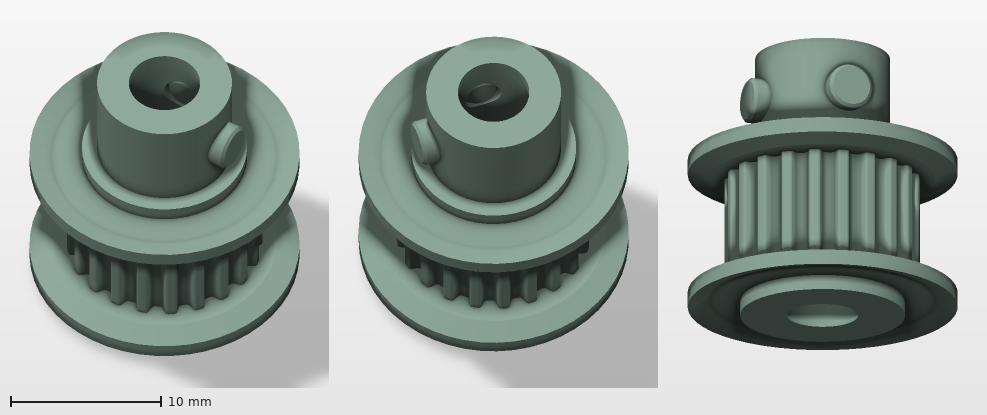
import cadquery as cq
import math

TOTAL_HEIGHT = 18.0
END_COLLAR = 0.6
COLLAR_TOP = 11.5

FLANGE_RADIUS = 9.0
FLANGE_FLAT_RADIUS = 7.5
FLANGE_THICKNESS = 1.0
FLANGE_DISH = 0.4

COLLAR_RADIUS = 5.5
HUB_RADIUS = 4.5
BORE_RADIUS = 2.38

TOOTH_COUNT = 21
TIP_RADIUS = 6.53
GROOVE_DEPTH = 0.68
GROOVE_BOTTOM_WIDTH = 0.65
GROOVE_ANGLE = 50.0
TIP_FILLET = 0.22
ROOT_FILLET = 0.3
FIRST_TOOTH_ANGLE = -90.0

SCREW_DIAMETER = 3.0
SCREW_HEIGHT = 14.49
SCREW_LENGTH = 3.0
SCREW_OUTER_END = 5.4
SCREW_OUTER_CHAMFER = 0.2
SCREW_INNER_CHAMFER = 0.5
SCREW_HOLE_RADIUS = 1.25
SCREW_DIRECTIONS = [0.0, 90.0]

SCREW_RADIUS = SCREW_DIAMETER / 2
BELT_BOTTOM = END_COLLAR + FLANGE_THICKNESS + FLANGE_DISH
BELT_TOP = COLLAR_TOP - BELT_BOTTOM

CUT_MARGIN = 0.36
TIP_TOLERANCE = 0.002


def cylinder(radius, bottom, top):
    """Upright cylinder on the shaft axis."""
    return cq.Workplane("XY").workplane(offset=bottom).circle(radius).extrude(top - bottom)


def along_radius(body, direction):
    """Turn a body built along +Z so that it points outwards at the screw height,
    direction degrees round from the +X axis.
    """
    laid_down = body.rotate((0, 0, 0), (0, 1, 0), 90)
    return laid_down.translate((0, 0, SCREW_HEIGHT)).rotate((0, 0, 0), (0, 0, 1), direction)


def make_belt_groove():
    """Cutter for the groove on the +X side: flat bottom and sloping walls, rounded at the root."""
    root = TIP_RADIUS - GROOVE_DEPTH
    mouth = TIP_RADIUS + CUT_MARGIN
    half_bottom = GROOVE_BOTTOM_WIDTH / 2
    half_mouth = half_bottom + (mouth - root) * math.tan(math.radians(GROOVE_ANGLE / 2))
    outline = [(root, -half_bottom), (mouth, -half_mouth), (mouth, half_mouth), (root, half_bottom)]
    groove = cq.Workplane("XY").workplane(offset=BELT_BOTTOM).polyline(outline).close()
    groove = groove.extrude(BELT_TOP - BELT_BOTTOM)
    return groove.edges("|Z and <X").fillet(ROOT_FILLET)


def make_toothed_section():
    """Belt section with its grooves cut and the tooth tips rounded."""
    pitch_angle = 360.0 / TOOTH_COUNT
    section = cylinder(TIP_RADIUS, BELT_BOTTOM, BELT_TOP)
    groove = make_belt_groove()
    for tooth in range(TOOTH_COUNT):
        angle = FIRST_TOOTH_ANGLE + (tooth + 0.5) * pitch_angle
        section = section.cut(groove.rotate((0, 0, 0), (0, 0, 1), angle))
    tip_edges = [
        edge for edge in section.edges("|Z").vals()
        if math.hypot(edge.Center().x, edge.Center().y) > TIP_RADIUS - TIP_TOLERANCE
    ]
    return section.newObject(tip_edges).fillet(TIP_FILLET)


def make_pulley():
    """Toothed belt section, collars, hub and bore, with a stepped hole for each set screw."""
    pulley = make_toothed_section()
    pulley = pulley.union(cylinder(COLLAR_RADIUS, 0, COLLAR_TOP))
    pulley = pulley.union(cylinder(HUB_RADIUS, COLLAR_TOP, TOTAL_HEIGHT))
    pulley = pulley.cut(cylinder(BORE_RADIUS, 0, TOTAL_HEIGHT))
    screw_hole = cylinder(SCREW_HOLE_RADIUS, 0, HUB_RADIUS)
    for direction in SCREW_DIRECTIONS:
        pulley = pulley.cut(along_radius(screw_hole, direction))
        pulley = pulley.cut(make_set_screw(direction))
    return pulley


def make_flange(web_face, outward):
    """Dished washer; web_face lies against the teeth and outward is +1 up or -1 down."""
    web_back = web_face + outward * FLANGE_THICKNESS
    rise = outward * FLANGE_DISH
    section = [
        (COLLAR_RADIUS, web_face),
        (FLANGE_FLAT_RADIUS, web_face),
        (FLANGE_RADIUS, web_face + rise),
        (FLANGE_RADIUS, web_back + rise),
        (FLANGE_FLAT_RADIUS, web_back),
        (COLLAR_RADIUS, web_back),
    ]
    return cq.Workplane("XZ").polyline(section).close().revolve(360, (0, 0, 0), (0, 1, 0))


def make_set_screw(direction):
    """Set screw with both ends chamfered, lying along a radius."""
    inner_end = SCREW_OUTER_END - SCREW_LENGTH
    screw = cylinder(SCREW_RADIUS, inner_end, SCREW_OUTER_END)
    screw = screw.faces(">Z").edges().chamfer(SCREW_OUTER_CHAMFER)
    screw = screw.faces("<Z").edges().chamfer(SCREW_INNER_CHAMFER)
    return along_radius(screw, direction)


pulley = make_pulley()
flanges = [make_flange(BELT_BOTTOM, -1), make_flange(BELT_TOP, 1)]
set_screws = [make_set_screw(direction) for direction in SCREW_DIRECTIONS]

bodies = [pulley, *flanges, *set_screws]
result = cq.Compound.makeCompound([body.val() for body in bodies])